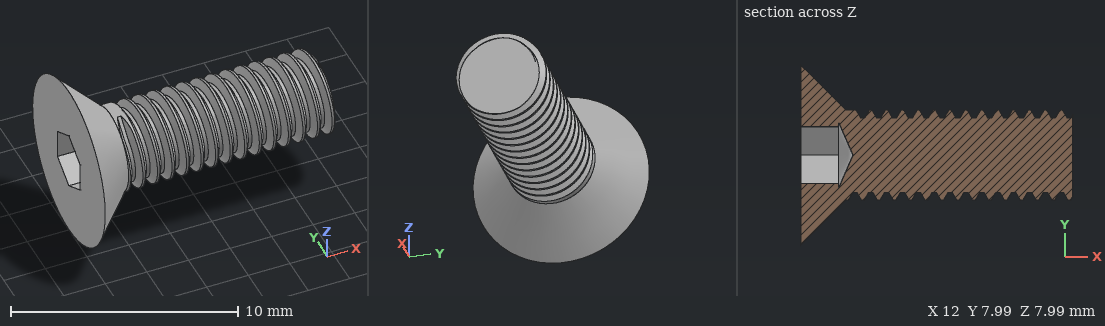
import cadquery as cq
import math

length = 12.0
head_diameter = 7.99
shank_diameter = 4.0
head_angle = 90.0
socket_across_flats = 2.5
socket_depth = 1.68
socket_tip_angle = 133.0
groove_depth = 0.35
flank_angle = 60.0
thread_turns = 14.3
groove_start_angle = 222.0
head_clearance = 0.01
cutter_overlap = 0.04

head_radius = head_diameter / 2
shank_radius = shank_diameter / 2
head_height = (head_radius - shank_radius) / math.tan(math.radians(head_angle / 2))
pitch = (length - head_height) / thread_turns
root_radius = shank_radius - groove_depth
root_width = pitch / 4
flank_slope = math.tan(math.radians(flank_angle / 2))
groove_width = root_width + 2 * groove_depth * flank_slope
groove_start = head_height + head_clearance + groove_width / 2


def make_blank():
    """Countersunk head and plain shank."""
    return (
        cq.Workplane("XZ")
        .polyline([
            (0, 0),
            (head_radius, 0),
            (shank_radius, head_height),
            (shank_radius, length),
            (0, length),
        ])
        .close()
        .revolve(360, (0, 0, 0), (0, 1, 0))
    )


def make_socket():
    """Hexagonal socket above a cone as wide as the hexagon's corners."""
    corner_radius = socket_across_flats / math.sqrt(3)
    tip_height = corner_radius / math.tan(math.radians(socket_tip_angle / 2))
    hexagon = cq.Workplane("XY").polygon(6, 2 * corner_radius).extrude(socket_depth)
    floor_cone = cq.Workplane(
        cq.Solid.makeCone(corner_radius, 0, tip_height, cq.Vector(0, 0, socket_depth))
    )
    return hexagon.union(floor_cone)


def groove_profile():
    """Trapezoidal groove section, standing slightly outside the shank."""
    outer_radius = shank_radius + cutter_overlap
    outer_half_width = groove_width / 2 + cutter_overlap * flank_slope
    return (
        cq.Workplane("XZ")
        .polyline([
            (root_radius, groove_start - root_width / 2),
            (outer_radius, groove_start - outer_half_width),
            (outer_radius, groove_start + outer_half_width),
            (root_radius, groove_start + root_width / 2),
        ])
        .close()
    )


def make_groove_turn():
    """One right-hand turn of the groove; turns stack one pitch apart."""
    helix = cq.Wire.makeHelix(pitch, pitch, root_radius, cq.Vector(0, 0, groove_start))
    return groove_profile().sweep(cq.Workplane(helix), isFrenet=True)


def make_runout():
    """Straight tangent lead-in from the shank surface to the groove root."""
    outer_radius = shank_radius + cutter_overlap
    runout_length = math.sqrt(outer_radius**2 - root_radius**2)
    return groove_profile().extrude(runout_length)


def place_groove(cutter):
    return cutter.rotate((0, 0, 0), (0, 0, 1), groove_start_angle)


screw = make_blank().cut(make_socket())

groove_turn = place_groove(make_groove_turn())
for turn in range(math.ceil(thread_turns)):
    screw = screw.cut(groove_turn.translate((0, 0, turn * pitch)))
screw = screw.cut(place_groove(make_runout()))

result = screw.rotate((0, 0, 0), (0, 1, 0), 90)